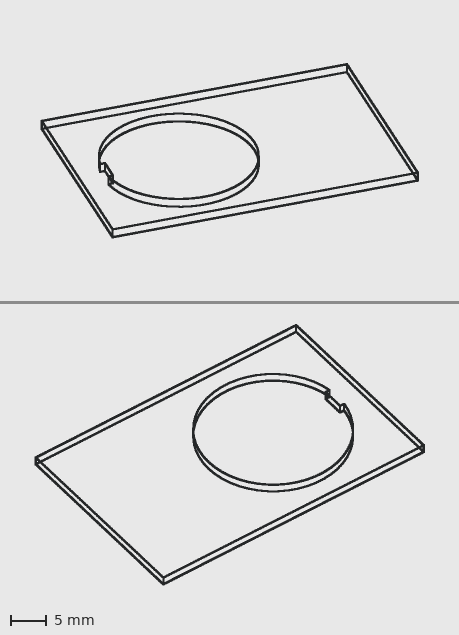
import cadquery as cq

plate_width = 30.0
plate_length = 45.0
plate_thickness = 1.3

hole_diameter = 22.28
hole_radius = hole_diameter / 2
hole_center_y = -plate_length / 6

key_width = 3.4
key_tip_distance = 10.3


def make_plate():
    return cq.Workplane("XY").box(
        plate_width, plate_length, plate_thickness, centered=(True, True, False)
    )


def make_keyed_opening():
    """Through cutter: a cylinder with the key removed from its -Y side."""
    cylinder = (
        cq.Workplane("XY")
        .center(0, hole_center_y)
        .circle(hole_radius)
        .extrude(plate_thickness)
    )
    key_depth = 2 * (hole_radius - key_tip_distance)
    key = (
        cq.Workplane("XY")
        .center(0, hole_center_y - hole_radius)
        .rect(key_width, key_depth)
        .extrude(plate_thickness)
    )
    return cylinder.cut(key)


result = make_plate().cut(make_keyed_opening())